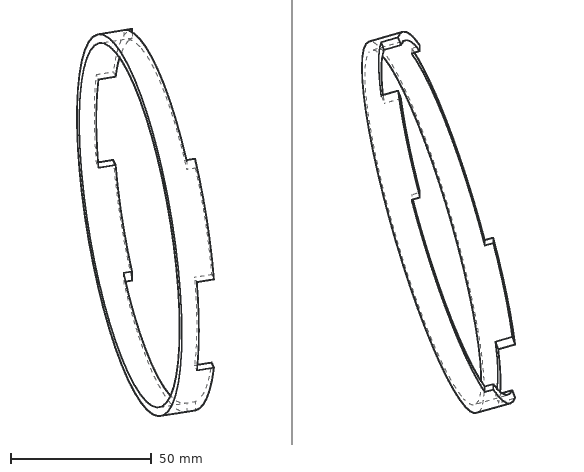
import cadquery as cq

outer_diameter = 137.4
wall = 3.2
ring_depth = 12.6
inner_diameter = outer_diameter - 2 * wall

end_notch_width = 82.5
end_notch_depth = 3.2
side_notch_width = 38.5
side_notch_depth = 6.3


def make_ring():
    """Plain ring extruded along +Y, centred on the origin."""
    return (
        cq.Workplane("XZ", origin=(0, -ring_depth / 2, 0))
        .circle(outer_diameter / 2)
        .circle(inner_diameter / 2)
        .extrude(-ring_depth)
    )


def notch_cutter(size_x, size_z, depth):
    """Block through both opposite walls, reaching down from the +Y edge."""
    return cq.Workplane("XY").box(size_x, depth, size_z).translate((0, (ring_depth - depth) / 2, 0))


end_notches = notch_cutter(end_notch_width, outer_diameter, end_notch_depth)
side_notches = notch_cutter(outer_diameter, side_notch_width, side_notch_depth)

result = make_ring().cut(end_notches).cut(side_notches)